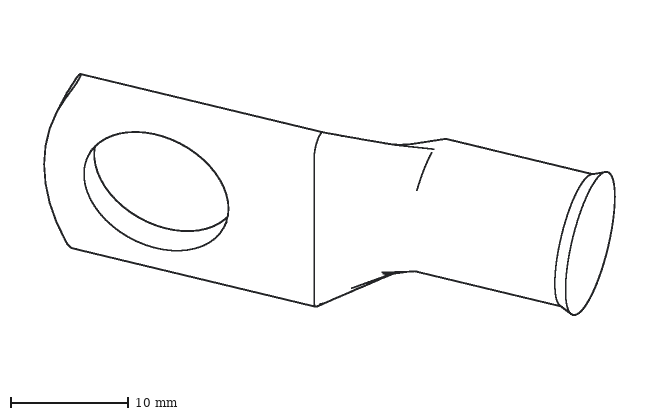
import cadquery as cq
import math

length = 47.2
palm_width = 19.3
palm_thickness = 2.65
palm_end = 24.45
barrel_start = 32.75
barrel_diameter = 11.6
flare_start = 46.05
flare_diameter = 12.55
hole_diameter = 13.05
hole_x = 10.15
nose_sagitta = 2.75
side_half_angle = 8.0

palm_bottom = -6.25
palm_center_y = palm_bottom + palm_thickness / 2
edge_radius = palm_thickness / 2
barrel_radius = barrel_diameter / 2
edge_offset = palm_width / 2 - edge_radius


def cross_section(x):
    """Sketch plane across the lug: local x is Y, local y is Z."""
    return cq.Workplane("YZ", origin=(x, 0, 0))


def palm_profile(x):
    """Flat bar section with fully rounded edges."""
    front = palm_bottom
    back = palm_bottom + palm_thickness
    return (
        cross_section(x)
        .moveTo(back, -edge_offset)
        .lineTo(back, edge_offset)
        .threePointArc((palm_center_y, palm_width / 2), (front, edge_offset))
        .lineTo(front, -edge_offset)
        .threePointArc((palm_center_y, -palm_width / 2), (back, -edge_offset))
        .close()
    )


def barrel_profile(x):
    """Circle split into four arcs, matching the four edges of the palm section."""
    r = barrel_radius
    y = r * math.sin(math.radians(side_half_angle))
    z = r * math.cos(math.radians(side_half_angle))
    return (
        cross_section(x)
        .moveTo(y, -z)
        .threePointArc((r, 0), (y, z))
        .threePointArc((0, r), (-y, z))
        .threePointArc((-r, 0), (-y, -z))
        .threePointArc((0, -r), (y, -z))
        .close()
    )


def make_palm():
    palm = palm_profile(0).extrude(palm_end)
    nose_outline = (
        cq.Workplane("XZ", origin=(0, palm_center_y, 0))
        .moveTo(nose_sagitta, -palm_width / 2)
        .threePointArc((0, 0), (nose_sagitta, palm_width / 2))
        .lineTo(palm_end, palm_width / 2)
        .lineTo(palm_end, -palm_width / 2)
        .close()
        .extrude(palm_thickness, both=True)
    )
    hole = (
        cq.Workplane("XZ", origin=(hole_x, palm_center_y, 0))
        .circle(hole_diameter / 2)
        .extrude(palm_thickness, both=True)
    )
    return palm.intersect(nose_outline).cut(hole)


def make_neck():
    """Ruled transition from the flat palm to the round barrel."""
    palm_wire = palm_profile(palm_end).val()
    barrel_wire = barrel_profile(barrel_start).val()
    return cq.Workplane(cq.Solid.makeLoft([palm_wire, barrel_wire], True))


def make_barrel():
    """Round barrel with a short conical flare at its mouth."""
    return (
        cq.Workplane("XY")
        .moveTo(barrel_start, 0)
        .lineTo(barrel_start, barrel_radius)
        .lineTo(flare_start, barrel_radius)
        .lineTo(length, flare_diameter / 2)
        .lineTo(length, 0)
        .close()
        .revolve(360, (0, 0, 0), (1, 0, 0))
    )


result = make_palm().union(make_neck()).union(make_barrel())